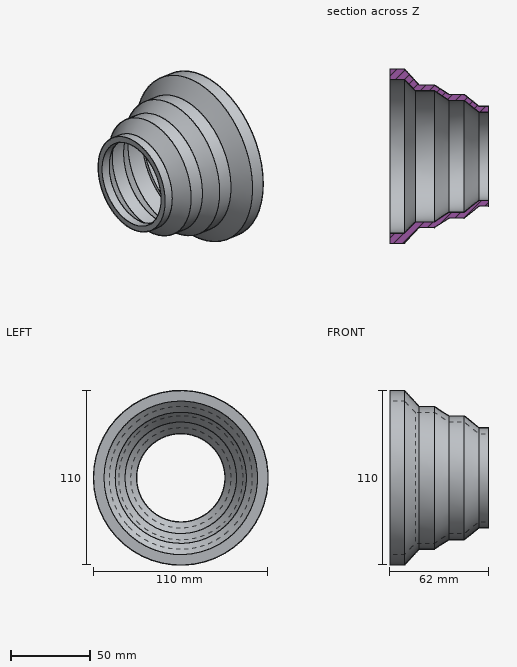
import cadquery as cq

length = 62.0
outer_radii = [55.0, 45.0, 39.0, 31.6]
bore_radii = [48.3, 41.2, 35.1, 27.7]

first_collar_length = 9.1
collar_length = 9.6
cone_length = 9.2
outer_spans = [(0, first_collar_length)]
for _ in outer_radii[1:-1]:
    collar_start = outer_spans[-1][1] + cone_length
    outer_spans.append((collar_start, collar_start + collar_length))
outer_spans.append((outer_spans[-1][1] + cone_length, length))

first_bore_cone_length = 6.8
bore_spans = list(outer_spans)
bore_spans[1] = (first_collar_length + first_bore_cone_length, outer_spans[1][1])


def stepped_line(spans, radii):
    """Points (x, radius) along the collars, from the large end to the small end."""
    points = []
    for (start, end), radius in zip(spans, radii):
        points += [(start, radius), (end, radius)]
    return points


outside = stepped_line(outer_spans, outer_radii)
bore = stepped_line(bore_spans, bore_radii)

result = (
    cq.Workplane("XY")
    .polyline(outside + bore[::-1])
    .close()
    .revolve(360, (0, 0, 0), (1, 0, 0))
)